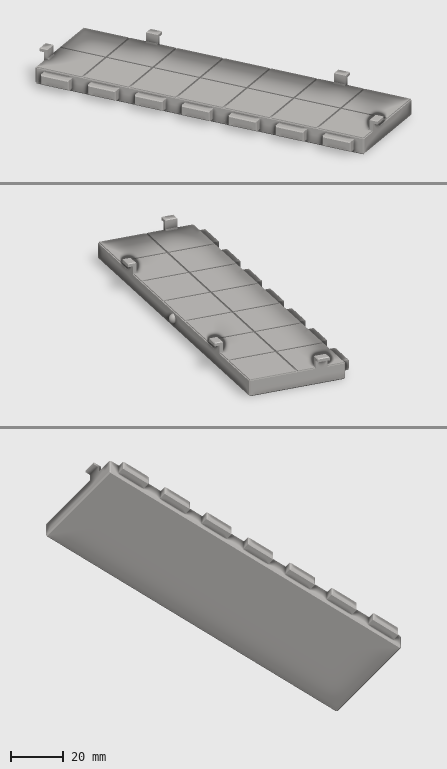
import cadquery as cq
TOTAL_LENGTH = 143.9
TOTAL_DEPTH = 45.3
TOTAL_HEIGHT = 11.5

COLUMNS = 7
ROWS = 2
OVERHANG = 2.0
TILE_PITCH = (TOTAL_LENGTH - 2 * OVERHANG) / COLUMNS
GROOVE_WIDTH = 0.9
GROOVE_DEPTH = 0.5
TILE_SIZE = TILE_PITCH - GROOVE_WIDTH

SLAB_LENGTH = COLUMNS * TILE_PITCH
SLAB_DEPTH = ROWS * TILE_PITCH
SLAB_HEIGHT = 7.0
BASE_HEIGHT = 1.7
EDGE_CHAMFER = 0.5

CLIP_WIDTH = 5.0
CLIP_THICKNESS = 1.5
CLIP_CHAMFER = 0.3
FOOT_CHAMFER = 0.6
BACK_CLIP_COLUMNS = (1, 5)
SIDE_CLIP_ROW = 0

BUTTON_LENGTH = 12.1
BUTTON_HEIGHT = 4.2
BUTTON_BOTTOM = BASE_HEIGHT
BUTTON_REACH = TOTAL_DEPTH - SLAB_DEPTH - OVERHANG
BUTTON_CHAMFER = 0.5

BUMP_RADIUS = 2.0
BUMP_REACH = 1.7
BUMP_HEIGHT = BUTTON_BOTTOM + BUTTON_HEIGHT / 2

BOTTOM_Z = -TOTAL_HEIGHT / 2
SEAM_Z = BOTTOM_Z + BASE_HEIGHT
SLAB_TOP_Z = BOTTOM_Z + SLAB_HEIGHT
FRONT_Y = -TOTAL_DEPTH / 2 + BUTTON_REACH
BACK_Y = FRONT_Y + SLAB_DEPTH
MIDDLE_Y = FRONT_Y + SLAB_DEPTH / 2


def column_x(column):
    """Centre of a tile column, counted from the left."""
    return (column - (COLUMNS - 1) / 2) * TILE_PITCH


def row_y(row):
    """Centre of a tile row, counted from the front."""
    return MIDDLE_Y + (row - (ROWS - 1) / 2) * TILE_PITCH


def block(length, depth, height, x, y, bottom_z):
    """Box centred on x and y, standing on bottom_z."""
    box = cq.Workplane("XY").box(length, depth, height, centered=(True, True, False))
    return box.translate((x, y, bottom_z))


def make_base():
    """Bottom plate, chamfered at its corners and lower rim."""
    base = block(SLAB_LENGTH, SLAB_DEPTH, BASE_HEIGHT, 0, MIDDLE_Y, BOTTOM_Z)
    return base.edges("|Z or <Z").chamfer(EDGE_CHAMFER)


def make_clip(x, y, turn):
    """L-shaped clip on the slab edge at x, y; its hook points along +Y before turning about Z."""
    top_z = TOTAL_HEIGHT / 2
    root_z = SLAB_TOP_Z - GROOVE_DEPTH
    foot_y = -CLIP_THICKNESS - FOOT_CHAMFER
    profile = (
        cq.Workplane("YZ")
        .moveTo(0, root_z)
        .lineTo(foot_y, root_z)
        .lineTo(foot_y, SLAB_TOP_Z)
        .lineTo(-CLIP_THICKNESS, SLAB_TOP_Z + FOOT_CHAMFER)
        .lineTo(-CLIP_THICKNESS, top_z)
        .lineTo(OVERHANG, top_z)
        .lineTo(OVERHANG, top_z - CLIP_THICKNESS)
        .lineTo(0, top_z - CLIP_THICKNESS)
        .close()
    )
    clip = profile.extrude(CLIP_WIDTH / 2, both=True)
    clip = clip.faces(">Z").chamfer(CLIP_CHAMFER)
    return clip.rotate((0, 0, 0), (0, 0, 1), turn).translate((x, y, 0))


def make_button(column):
    """Push tab on the front wall, chamfered around its outer face."""
    button = block(BUTTON_LENGTH, BUTTON_REACH, BUTTON_HEIGHT, column_x(column),
                   FRONT_Y - BUTTON_REACH / 2, BOTTOM_Z + BUTTON_BOTTOM)
    return button.faces("<Y").chamfer(BUTTON_CHAMFER)


def make_bump():
    """Ball sunk into the middle of the back wall so that only its cap stands out."""
    bump_y = BACK_Y + BUMP_REACH - BUMP_RADIUS
    return cq.Workplane("XY").sphere(BUMP_RADIUS).translate((0, bump_y, BOTTOM_Z + BUMP_HEIGHT))


def make_cover():
    """Slab with raised tiles, snap clips, front buttons and a bump on the back."""
    floor_z = SLAB_TOP_Z - GROOVE_DEPTH
    cover = block(SLAB_LENGTH, SLAB_DEPTH, floor_z - SEAM_Z, 0, MIDDLE_Y, SEAM_Z)
    cover = cover.edges("|Z").chamfer(EDGE_CHAMFER)
    for column in range(COLUMNS):
        for row in range(ROWS):
            tile = block(TILE_SIZE, TILE_SIZE, GROOVE_DEPTH, column_x(column), row_y(row), floor_z)
            cover = cover.union(tile)
    for column in range(COLUMNS):
        cover = cover.union(make_button(column))
    for column in BACK_CLIP_COLUMNS:
        cover = cover.union(make_clip(column_x(column), BACK_Y, 0))
    cover = cover.union(make_clip(-SLAB_LENGTH / 2, row_y(SIDE_CLIP_ROW), 90))
    cover = cover.union(make_clip(SLAB_LENGTH / 2, row_y(SIDE_CLIP_ROW), -90))
    return cover.union(make_bump())


base = make_base()
cover = make_cover()
result = cq.Compound.makeCompound([base.val(), cover.val()])